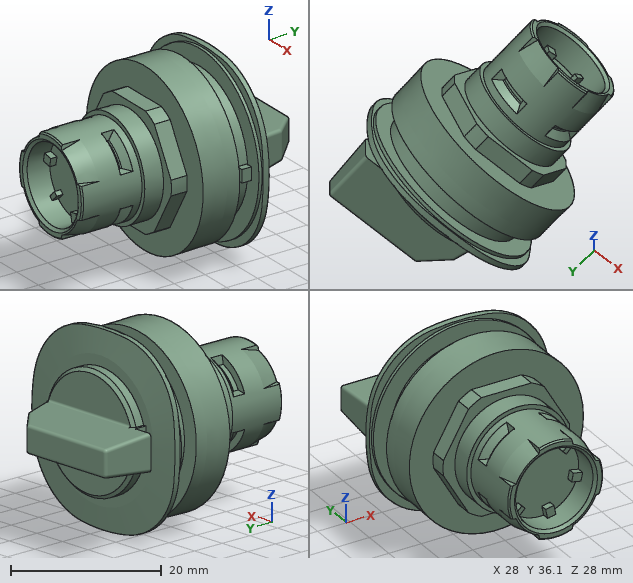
import cadquery as cq
import math

TOTAL_LENGTH = 36.13
KNOB_FOOT = 28.18
DOME_TOP = 26.3
BEZEL_BOTTOM = 24.7
LIP_BOTTOM = 24.2
RING_TOP = 21.28
RING_SEAM = 19.3
RING_BOTTOM = 15.3
NUT_BOTTOM = 12.7
COLLAR_BOTTOM = 9.7

BASE_DIAMETER = 17.92
DOME_FLAT_DIAMETER = 21.0
LIP_DIAMETER = 27.4
NECK_DIAMETER = 22.2
RING_TOP_DIAMETER = 26.85
RING_BOTTOM_DIAMETER = 27.03
COLLAR_DIAMETER = 16.0
TAIL_DIAMETER = 14.7
TAIL_CHAMFER = 0.2
BASE_CHAMFER = 0.5

BEZEL_WIDTH = 27.95
SIDE_ARC_RADIUS = 31.45
SIDE_ARC_HALF_CHORD = 4.37
DOME_SLOPE = 10.2

NUT_ACROSS_FLATS = 18.05
NUT_CORNER_DIAMETER = 19.65

KNOB_TOP_HALF_THICKNESS = 2.0
KNOB_FOOT_HALF_THICKNESS = 2.7
KNOB_LEFT_TOP = -11.7
KNOB_LEFT_FOOT = -12.0
KNOB_RIGHT_TOP = 3.7
KNOB_SHOULDER_X = 7.25
KNOB_SHOULDER_Y = 32.48
KNOB_RIGHT_FOOT = 8.35
KNOB_EDGE_FILLET = 0.5
KNOB_FOOT_FILLET = 0.3

KEY_REACH = 12.15
KEY_BOTTOM = 22.55
KEY_TOP = 24.1
KEY_WIDTH = 2.0

BORE_DIAMETER = 12.0
BORE_DEPTH = 4.1
BORE_MOUTH_CHAMFER = 0.45
PEG_HEIGHT = 1.0
PEG_INNER_RADIUS = 4.5
WIDE_PEG_WIDTH = 1.3
NARROW_PEG_WIDTH = 0.72
WIDE_PEG_ANGLES = (101.5, 168.5, 281.5, 348.5)
NARROW_PEG_ANGLES = (45.0, 225.0)

QUARTER_WALL_OFFSET = 2.5
QUARTER_WALL_DRAFT = 0.2
WINDOW_TOP = 8.53
WINDOW_BOTTOM = 6.5
WINDOW_SLOPE_END = 7.55
WINDOW_FLOOR_TOP = 7.35
WINDOW_SLOPE_END_RADIUS = 6.35
WINDOW_FLOOR_RADIUS = 6.3
RELIEF_TOP = 3.0
RELIEF_END_RADIUS = 6.72

JOINT_OVERLAP = 0.18

tail_radius = TAIL_DIAMETER / 2
base_radius = BASE_DIAMETER / 2


def turned(points):
    """Revolve a (radius, y) outline about the Y axis."""
    return cq.Workplane("XY").polyline(points).close().revolve(360, (0, 0, 0), (0, 1, 0))


def section(y):
    """Workplane at level y with local axes X and Z, extruding toward +Y."""
    return cq.Workplane(cq.Plane(origin=(0, y, 0), xDir=(1, 0, 0), normal=(0, -1, 0)))


def disc(diameter, bottom, top):
    return section(bottom).circle(diameter / 2).extrude(bottom - top)


def make_bezel():
    """Rounded-square plate of tangent arcs under a shallow conical dome."""
    half = BEZEL_WIDTH / 2
    angle = math.asin(SIDE_ARC_HALF_CHORD / SIDE_ARC_RADIUS)
    side_centre = SIDE_ARC_RADIUS - half
    centre_gap = side_centre / (math.cos(angle) - math.sin(angle))
    corner_radius = SIDE_ARC_RADIUS - centre_gap
    corner_middle = centre_gap * math.sin(angle) + corner_radius * math.sqrt(0.5)
    a = SIDE_ARC_HALF_CHORD
    b = SIDE_ARC_RADIUS * math.cos(angle) - side_centre
    m = corner_middle
    outline = (
        section(BEZEL_BOTTOM)
        .moveTo(-a, b)
        .threePointArc((0, half), (a, b))
        .threePointArc((m, m), (b, a))
        .threePointArc((half, 0), (b, -a))
        .threePointArc((m, -m), (a, -b))
        .threePointArc((0, -half), (-a, -b))
        .threePointArc((-m, -m), (-b, -a))
        .threePointArc((-half, 0), (-b, a))
        .threePointArc((-m, m), (-a, b))
        .close()
        .extrude(BEZEL_BOTTOM - DOME_TOP)
    )
    flat_radius = DOME_FLAT_DIAMETER / 2
    drop = (BEZEL_WIDTH - flat_radius) * math.tan(math.radians(DOME_SLOPE))
    dome = turned(
        [
            (0, LIP_BOTTOM - drop),
            (BEZEL_WIDTH, LIP_BOTTOM - drop),
            (BEZEL_WIDTH, DOME_TOP - drop),
            (flat_radius, DOME_TOP),
            (0, DOME_TOP),
        ]
    )
    return outline.intersect(dome)


def make_nut():
    """Hexagon with two flats facing up and down, its corners trimmed by a cylinder."""
    hexagon = (
        section(NUT_BOTTOM)
        .polygon(6, NUT_ACROSS_FLATS, circumscribed=True)
        .extrude(NUT_BOTTOM - RING_BOTTOM)
        .rotate((0, 0, 0), (0, 1, 0), 30)
    )
    return hexagon.intersect(disc(NUT_CORNER_DIAMETER, NUT_BOTTOM, RING_BOTTOM))


def make_body():
    """Everything from the tail up to the bezel dome."""
    ring = turned(
        [
            (0, RING_BOTTOM),
            (RING_BOTTOM_DIAMETER / 2, RING_BOTTOM),
            (RING_TOP_DIAMETER / 2, RING_SEAM),
            (RING_TOP_DIAMETER / 2, RING_TOP),
            (0, RING_TOP),
        ]
    )
    tail = disc(TAIL_DIAMETER, 0, COLLAR_BOTTOM).faces("<Y").chamfer(TAIL_CHAMFER)
    key = (
        cq.Workplane("XY")
        .box(KEY_REACH, KEY_TOP - KEY_BOTTOM, KEY_WIDTH, centered=(False, False, True))
        .translate((0, KEY_BOTTOM, 0))
    )
    return (
        tail.union(disc(COLLAR_DIAMETER, COLLAR_BOTTOM, NUT_BOTTOM))
        .union(make_nut())
        .union(ring)
        .union(disc(NECK_DIAMETER, RING_TOP, LIP_BOTTOM))
        .union(key)
        .union(disc(LIP_DIAMETER, LIP_BOTTOM, BEZEL_BOTTOM))
        .union(make_bezel())
    )


def make_knob():
    """Drafted blade with every edge rounded except around its foot."""
    blade = (
        cq.Workplane("XY")
        .polyline(
            [
                (KNOB_LEFT_FOOT, KNOB_FOOT),
                (KNOB_LEFT_TOP, TOTAL_LENGTH),
                (KNOB_RIGHT_TOP, TOTAL_LENGTH),
                (KNOB_SHOULDER_X, KNOB_SHOULDER_Y),
                (KNOB_RIGHT_FOOT, KNOB_FOOT),
            ]
        )
        .close()
        .extrude(KNOB_FOOT_HALF_THICKNESS, both=True)
    )
    draft = (
        cq.Workplane("YZ")
        .polyline(
            [
                (KNOB_FOOT, -KNOB_FOOT_HALF_THICKNESS),
                (TOTAL_LENGTH, -KNOB_TOP_HALF_THICKNESS),
                (TOTAL_LENGTH, KNOB_TOP_HALF_THICKNESS),
                (KNOB_FOOT, KNOB_FOOT_HALF_THICKNESS),
            ]
        )
        .close()
        .extrude(TOTAL_LENGTH, both=True)
    )
    blade = blade.intersect(draft)
    return blade.edges("not(<Y)").fillet(KNOB_EDGE_FILLET)


def make_base():
    """Round base under the knob, with a flat-ended stem below the knob's overhang."""
    rim = disc(BASE_DIAMETER, DOME_TOP, KNOB_FOOT).faces(">Y").chamfer(BASE_CHAMFER)
    stem_length = KNOB_FOOT - DOME_TOP
    stem = (
        cq.Workplane("XY")
        .box(base_radius, stem_length, 2 * KNOB_FOOT_HALF_THICKNESS, centered=(False, False, True))
        .translate((-base_radius, DOME_TOP, 0))
    )
    return rim.union(stem)


def make_foot_fillets():
    """Concave fillets along both sides of the knob foot, kept to the flat top of the base."""
    radius = KNOB_FOOT_FILLET
    sink = JOINT_OVERLAP
    bend = radius * (1 - math.sqrt(0.5))
    side = KNOB_FOOT_HALF_THICKNESS
    draft = (side - KNOB_TOP_HALF_THICKNESS) / (TOTAL_LENGTH - KNOB_FOOT)
    side_above = side - radius * draft
    strip = (
        cq.Workplane("YZ")
        .moveTo(KNOB_FOOT - sink, side - sink)
        .lineTo(KNOB_FOOT + radius, side - sink)
        .lineTo(KNOB_FOOT + radius, side_above)
        .threePointArc((KNOB_FOOT + bend, side + bend), (KNOB_FOOT, side + radius))
        .lineTo(KNOB_FOOT - sink, side + radius)
        .close()
        .extrude(base_radius, both=True)
    )
    flat_diameter = BASE_DIAMETER - 2 * BASE_CHAMFER
    strip = strip.intersect(disc(flat_diameter, DOME_TOP, KNOB_FOOT + radius))
    return strip.union(strip.mirror("XY"))


def make_bore():
    """Space to remove from the tail end: the bore without the pegs left on its floor."""
    radius = BORE_DIAMETER / 2
    bore = turned(
        [
            (0, 0),
            (radius + BORE_MOUTH_CHAMFER, 0),
            (radius, BORE_MOUTH_CHAMFER),
            (radius, BORE_DEPTH),
            (0, BORE_DEPTH),
        ]
    )
    for angles, width in ((WIDE_PEG_ANGLES, WIDE_PEG_WIDTH), (NARROW_PEG_ANGLES, NARROW_PEG_WIDTH)):
        for angle in angles:
            bore = bore.cut(make_peg(width, angle))
    return bore


def make_peg(width, angle):
    """Peg on the bore floor, reaching from the bore wall inward; angle runs from +X toward +Z."""
    length = BORE_DIAMETER / 2 + JOINT_OVERLAP - PEG_INNER_RADIUS
    return (
        cq.Workplane("XY")
        .box(length, PEG_HEIGHT, width, centered=(False, False, True))
        .translate((PEG_INNER_RADIUS, BORE_DEPTH - PEG_HEIGHT, 0))
        .rotate((0, 0, 0), (0, 1, 0), -angle)
    )


def make_quarter_cuts():
    """Sloped windows and tapered end reliefs, limited to the four diagonal quarters."""
    outer = TAIL_DIAMETER
    window = turned(
        [
            (tail_radius, WINDOW_TOP),
            (WINDOW_SLOPE_END_RADIUS, WINDOW_SLOPE_END),
            (WINDOW_FLOOR_RADIUS, WINDOW_FLOOR_TOP),
            (WINDOW_FLOOR_RADIUS, WINDOW_BOTTOM),
            (outer, WINDOW_BOTTOM),
            (outer, WINDOW_TOP),
        ]
    )
    relief = turned(
        [(tail_radius, RELIEF_TOP), (RELIEF_END_RADIUS, 0), (outer, 0), (outer, RELIEF_TOP)]
    )
    surface = math.sqrt(tail_radius**2 - QUARTER_WALL_OFFSET**2)
    apex = (QUARTER_WALL_OFFSET + surface * QUARTER_WALL_DRAFT) / (1 + QUARTER_WALL_DRAFT)
    edge = apex - (outer - apex) * QUARTER_WALL_DRAFT
    quarter = (
        section(0)
        .polyline([(apex, apex), (outer, edge), (outer, outer), (edge, outer)])
        .close()
        .extrude(-COLLAR_BOTTOM)
    )
    one_cut = window.union(relief).intersect(quarter)
    cuts = one_cut
    for turn in (90, 180, 270):
        cuts = cuts.union(one_cut.rotate((0, 0, 0), (0, 1, 0), turn))
    return cuts


handle = make_base().union(make_knob()).union(make_foot_fillets())
result = make_body().union(handle).cut(make_bore()).cut(make_quarter_cuts())